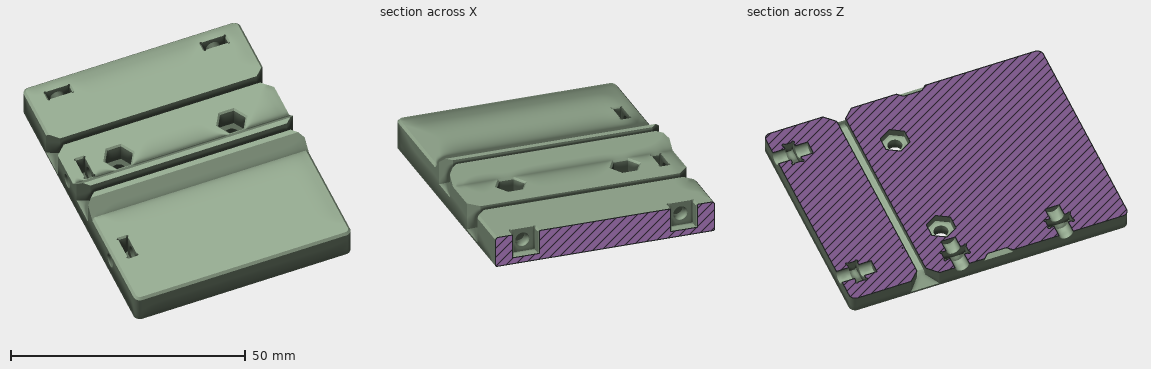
import cadquery as cq
import math

length = 64.0
width = 50.0
plate_height = 7.0
corner_radius = 1.5
top_chamfer = 0.5
bottom_chamfer = 0.25

total_height = 10.0
ridge_x = 2.0
ridge_top_width = 4.4

left_groove_x = -15.0
left_groove_floor = 2.75
ridge_groove_floor = 5.6
groove_width = 1.9
flare_width = 6.5
flare_floor_run = 3.4
flare_floor_drop = 2.0

screw_diameter = 3.2
nut_flats = 5.5
nut_mouth_chamfer = 0.4
shoulder_screw_x = -6.45
shoulder_screw_spacing = 26.05
hex_pocket_depth = 4.5

front_screw_xs = (shoulder_screw_x, 17.5)
side_screw_spacing = 36.0
edge_screw_z = 4.3
edge_screw_depth = 8.0
slot_inset = 4.0
slot_thickness = 2.2
slot_relief_radius = 0.25

front_y = -width / 2
left_x = -length / 2


def chamfered_plate():
    plate = cq.Workplane("XY").box(length, width, plate_height, centered=(True, True, False))
    plate = plate.edges("|Z").fillet(corner_radius)
    plate = plate.faces(">Z").chamfer(top_chamfer)
    return plate.faces("<Z").chamfer(bottom_chamfer)


def rail():
    """Ridge and shoulder, square-ended, with the 45-degree flank running down to the plate chamfer."""
    half_top = ridge_top_width / 2
    ridge_rise = total_height - plate_height
    flank_foot_z = plate_height - top_chamfer
    flank_foot_x = ridge_x + half_top + total_height - flank_foot_z
    return (
        cq.Workplane("XZ", origin=(0, width / 2, 0))
        .moveTo(left_groove_x, bottom_chamfer)
        .lineTo(left_groove_x, plate_height)
        .lineTo(ridge_x - half_top - ridge_rise, plate_height)
        .lineTo(ridge_x - half_top, total_height)
        .lineTo(ridge_x + half_top, total_height)
        .lineTo(flank_foot_x, flank_foot_z)
        .lineTo(flank_foot_x, bottom_chamfer)
        .close()
        .extrude(width)
    )


def flare(x, floor_z):
    """Flare at the front end of a groove: 45-degree side walls over a sloping floor."""
    half_groove = groove_width / 2
    half_flare = flare_width / 2
    wall_end_y = front_y + half_flare - half_groove
    floor_end_y = front_y + flare_floor_run
    plan = (
        cq.Workplane("XY")
        .polyline([
            (x - half_flare, front_y),
            (x + half_flare, front_y),
            (x + half_groove, wall_end_y),
            (x + half_groove, floor_end_y),
            (x - half_groove, floor_end_y),
            (x - half_groove, wall_end_y),
        ])
        .close()
        .extrude(total_height)
    )
    side_profile = (
        cq.Workplane("YZ", origin=(x - half_flare, 0, 0))
        .polyline([
            (front_y, floor_z - flare_floor_drop),
            (floor_end_y, floor_z),
            (floor_end_y, total_height),
            (front_y, total_height),
        ])
        .close()
        .extrude(flare_width)
    )
    return plan.intersect(side_profile)


def groove(x, floor_z):
    channel = cq.Workplane("XY", origin=(x, 0, floor_z)).box(
        groove_width, width, total_height - floor_z, centered=(True, True, False)
    )
    front_flare = flare(x, floor_z)
    return channel.union(front_flare).union(front_flare.mirror("XZ"))


def shoulder_screw(y):
    """Vertical through hole with a chamfered hexagonal nut pocket, points along Y."""
    def hexagon(flats, z):
        circumradius = flats / math.sqrt(3)
        return cq.Sketch().regularPolygon(circumradius, 6).moved(
            cq.Location(cq.Vector(shoulder_screw_x, y, z))
        )

    chamfer_z = plate_height - nut_mouth_chamfer
    hole = (
        cq.Workplane("XY")
        .center(shoulder_screw_x, y)
        .circle(screw_diameter / 2)
        .extrude(plate_height)
    )
    pocket = (
        cq.Workplane("XY")
        .placeSketch(hexagon(nut_flats, plate_height - hex_pocket_depth))
        .extrude(hex_pocket_depth)
    )
    chamfer = (
        cq.Workplane("XY")
        .placeSketch(
            hexagon(nut_flats, chamfer_z),
            hexagon(nut_flats + 2 * nut_mouth_chamfer, plate_height),
        )
        .loft()
    )
    return hole.union(pocket).union(chamfer)


def edge_screw():
    """Horizontal hole entering at the origin along +Y, with its nut slot open at the plate top."""
    slot_floor = edge_screw_z - nut_flats / 2
    slot_depth = plate_height - slot_floor
    half_nut = nut_flats / 2
    half_mouth = half_nut + nut_mouth_chamfer
    hole = (
        cq.Workplane("XZ", origin=(0, 0, edge_screw_z))
        .circle(screw_diameter / 2)
        .extrude(-edge_screw_depth)
    )
    slot = (
        cq.Workplane("XZ", origin=(0, slot_inset - slot_thickness / 2, 0))
        .polyline([
            (-half_nut, slot_floor),
            (half_nut, slot_floor),
            (half_nut, plate_height - nut_mouth_chamfer),
            (half_mouth, plate_height),
            (-half_mouth, plate_height),
            (-half_nut, plate_height - nut_mouth_chamfer),
        ])
        .close()
        .extrude(-slot_thickness)
    )
    reliefs = (
        cq.Workplane("XY", origin=(0, slot_inset, slot_floor))
        .rect(nut_flats, slot_thickness, forConstruction=True)
        .vertices()
        .circle(slot_relief_radius)
        .extrude(slot_depth)
    )
    return hole.union(slot).union(reliefs)


result = chamfered_plate().union(rail())

for groove_x, groove_floor in ((left_groove_x, left_groove_floor), (ridge_x, ridge_groove_floor)):
    result = result.cut(groove(groove_x, groove_floor))

for side in (-1, 1):
    result = result.cut(shoulder_screw(side * shoulder_screw_spacing / 2))

for screw_x in front_screw_xs:
    result = result.cut(edge_screw().translate((screw_x, front_y, 0)))

left_edge_screw = edge_screw().rotate((0, 0, 0), (0, 0, 1), -90)
for side in (-1, 1):
    result = result.cut(left_edge_screw.translate((left_x, side * side_screw_spacing / 2, 0)))